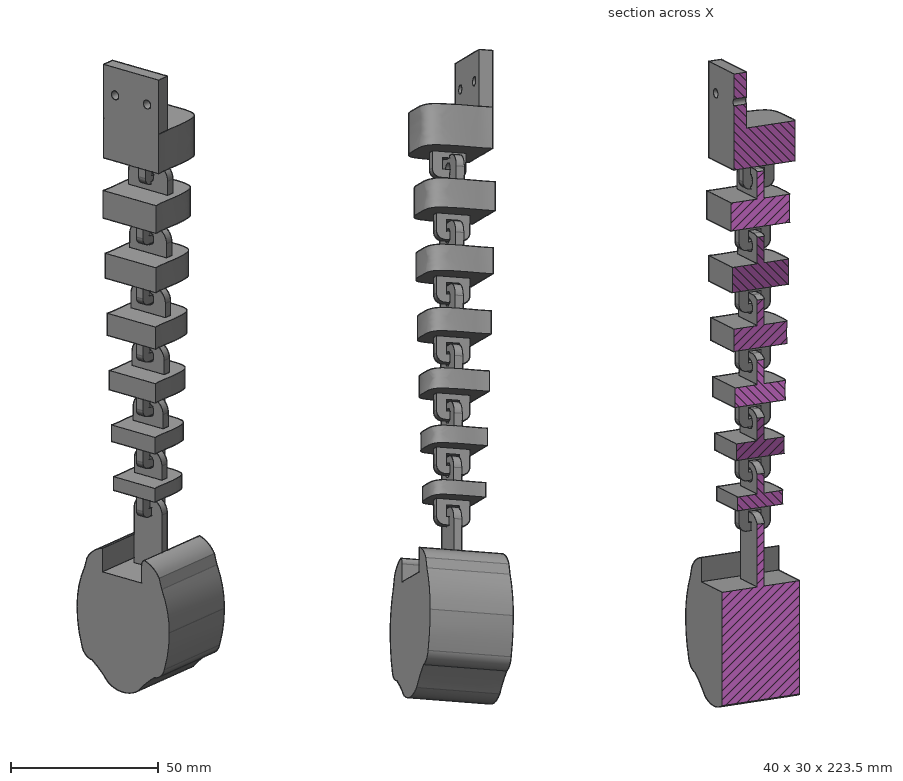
import cadquery as cq

TOTAL_HEIGHT = 223.5
LINK_COUNT = 6

EYE_THICKNESS = 3.0
UPPER_EYE_HEIGHT = 10.0
UPPER_EYE_CORNER = 5.0
UPPER_EYE_HOLE_DIAMETER = 5.0
UPPER_EYE_HOLE_DEPTH = 4.7
LOWER_EYE_WIDTH = 12.0
LOWER_EYE_HEIGHT = 9.0
LOWER_EYE_CORNER = 3.0
LOWER_EYE_HOLE_WIDTH = 4.7
LOWER_EYE_HOLE_HEIGHT = 4.0
LOWER_EYE_HOLE_DEPTH = 4.0
HOOK_OVERLAP = 6.3

SIZE_STEP = 1.0
FIRST_LINK_WIDTH = 23.0
FIRST_LINK_HEIGHT = 10.0
EYE_INSET = 6.0

CORNER_SHARE = 0.25
BOW_SHARE = 0.022
CORNER_INSET = 0.34

FOOT_WIDTH = 40.0
FOOT_DEPTH = 30.0
FOOT_FLOOR = 41.5
FOOT_EYE_WIDTH = LOWER_EYE_WIDTH
FOOT_EYE_HEIGHT = 25.0
HORN_TIP = (9.2, 50.0)
HORN_BEND = (13.5, 47.8)
HORN_SHOULDER = (15.6, 45.1)
FLANK_TOP = (16.8, 41.3)
UPPER_FLANK_BEND = (19.2, 34.0)
WIDEST_POINT = (FOOT_WIDTH / 2, 26.4)
LOWER_FLANK_BEND = (19.5, 19.2)
FLANK_BOTTOM = (17.9, 12.5)
HEEL_BEND = (16.3, 9.8)
HEEL_END = (13.5, 8.5)
TOE_BEND = (9.5, 5.4)
TOE_START = (6.5, 2.0)
SLOT_LEFT = -9.0
SLOT_RIGHT = 8.0
HORN_ROUND_START = 47.8
HORN_ROUND_MIDDLE = (8.3, 49.2)

MOUNT_HEIGHT = 34.0
MOUNT_WIDTH = 24.0
MOUNT_BLOCK_HEIGHT = 14.3
MOUNT_PLATE_THICKNESS = 5.0
MOUNT_SHIFT_X = -0.2
MOUNT_SHIFT_Y = 1.5
SCREW_HOLE_DIAMETER = 3.1
SCREW_HOLE_OFFSET = 7.0
SCREW_HOLE_DROP = 10.0


def mirrored(point):
    return (-point[0], point[1])


def make_block(width, height, bottom):
    """Block with a flat front at -Y and rounded corners at +Y."""
    half = width / 2
    bow = BOW_SHARE * width
    corner = CORNER_SHARE * width
    side = (half - bow / 4, -corner / 2)
    corner_start = (half - bow, half - corner)
    corner_middle = (half - CORNER_INSET * corner, half - CORNER_INSET * corner)
    corner_end = (half - corner, half - bow / 2)
    right_curve = [side, corner_start, corner_middle, corner_end]
    left_curve = [mirrored(point) for point in reversed(right_curve)]
    return (
        cq.Workplane("XY", origin=(0, 0, bottom))
        .moveTo(-half, -half)
        .lineTo(half, -half)
        .spline([*right_curve, (0, half), *left_curve, (-half, -half)], includeCurrent=True)
        .close()
        .extrude(height)
    )


def make_upper_eye_plate(width, height, bottom):
    """Plate across Y that stands on the bottom height, with its top corners rounded."""
    return (
        cq.Workplane("XY", origin=(0, 0, bottom))
        .box(width, EYE_THICKNESS, height, centered=(True, True, False))
        .edges("|Y and >Z")
        .fillet(UPPER_EYE_CORNER)
    )


def make_upper_eye(width, bottom):
    """Upper eye plate with its hole along Y."""
    hole = (
        cq.Workplane("XZ", origin=(0, 0, bottom + UPPER_EYE_HEIGHT - UPPER_EYE_HOLE_DEPTH))
        .circle(UPPER_EYE_HOLE_DIAMETER / 2)
        .extrude(EYE_THICKNESS, both=True)
    )
    return make_upper_eye_plate(width, UPPER_EYE_HEIGHT, bottom).cut(hole)


def make_lower_eye(top):
    """Lower eye: a plate across X that hangs from the top height, with its hole along X."""
    hole = cq.Workplane("XY", origin=(0, 0, top - LOWER_EYE_HOLE_DEPTH)).box(
        EYE_THICKNESS, LOWER_EYE_HOLE_WIDTH, LOWER_EYE_HOLE_HEIGHT
    )
    return (
        cq.Workplane("XY", origin=(0, 0, top - LOWER_EYE_HEIGHT))
        .box(EYE_THICKNESS, LOWER_EYE_WIDTH, LOWER_EYE_HEIGHT, centered=(True, True, False))
        .edges("|X and <Z")
        .fillet(LOWER_EYE_CORNER)
        .cut(hole)
    )


def make_link(index, bottom):
    """Link with its block standing on the bottom height; index 0 is the largest."""
    width = FIRST_LINK_WIDTH - index * SIZE_STEP
    height = link_height(index)
    return (
        make_block(width, height, bottom)
        .union(make_upper_eye(width - EYE_INSET, bottom + height))
        .union(make_lower_eye(bottom))
    )


def link_height(index):
    return FIRST_LINK_HEIGHT - index * SIZE_STEP


def make_foot():
    """Foot body with a slot between two horns and a long eye plate in the slot."""
    start_y = FOOT_DEPTH / 2
    left_horn_top = (SLOT_LEFT, HORN_TIP[1])
    body = (
        cq.Workplane("XZ", origin=(0, start_y, 0))
        .moveTo(SLOT_RIGHT, FOOT_FLOOR)
        .lineTo(SLOT_RIGHT, HORN_ROUND_START)
        .threePointArc(HORN_ROUND_MIDDLE, HORN_TIP)
        .threePointArc(HORN_BEND, HORN_SHOULDER)
        .lineTo(*FLANK_TOP)
        .threePointArc(UPPER_FLANK_BEND, WIDEST_POINT)
        .threePointArc(LOWER_FLANK_BEND, FLANK_BOTTOM)
        .threePointArc(HEEL_BEND, HEEL_END)
        .spline([TOE_BEND, TOE_START], includeCurrent=True)
        .threePointArc((0, 0), mirrored(TOE_START))
        .spline([mirrored(TOE_BEND), mirrored(HEEL_END)], includeCurrent=True)
        .threePointArc(mirrored(HEEL_BEND), mirrored(FLANK_BOTTOM))
        .threePointArc(mirrored(LOWER_FLANK_BEND), mirrored(WIDEST_POINT))
        .threePointArc(mirrored(UPPER_FLANK_BEND), mirrored(FLANK_TOP))
        .lineTo(*mirrored(HORN_SHOULDER))
        .threePointArc(mirrored(HORN_BEND), mirrored(HORN_TIP))
        .lineTo(*left_horn_top)
        .lineTo(SLOT_LEFT, FOOT_FLOOR)
        .close()
        .extrude(FOOT_DEPTH)
    )
    return body.union(make_upper_eye_plate(FOOT_EYE_WIDTH, FOOT_EYE_HEIGHT, FOOT_FLOOR))


def make_mount():
    """Mount: a block with a screw plate on top along its front and a lower eye below."""
    bottom = TOTAL_HEIGHT - MOUNT_HEIGHT
    front_y = -MOUNT_WIDTH / 2
    plate_height = MOUNT_HEIGHT - MOUNT_BLOCK_HEIGHT
    plate = cq.Workplane("XY", origin=(0, front_y, bottom + MOUNT_BLOCK_HEIGHT)).box(
        MOUNT_WIDTH, MOUNT_PLATE_THICKNESS, plate_height, centered=(True, False, False)
    )
    screw_holes = (
        cq.Workplane("XZ", origin=(0, front_y, TOTAL_HEIGHT - SCREW_HOLE_DROP))
        .pushPoints([(-SCREW_HOLE_OFFSET, 0), (SCREW_HOLE_OFFSET, 0)])
        .circle(SCREW_HOLE_DIAMETER / 2)
        .extrude(-MOUNT_PLATE_THICKNESS)
    )
    return (
        make_block(MOUNT_WIDTH, MOUNT_BLOCK_HEIGHT, bottom)
        .union(plate.cut(screw_holes))
        .union(make_lower_eye(bottom))
        .translate((MOUNT_SHIFT_X, MOUNT_SHIFT_Y, 0))
    )


foot = make_foot()
links = []
eye_top = FOOT_FLOOR + FOOT_EYE_HEIGHT
for index in reversed(range(LINK_COUNT)):
    block_bottom = eye_top - HOOK_OVERLAP + LOWER_EYE_HEIGHT
    links.append(make_link(index, block_bottom))
    eye_top = block_bottom + link_height(index) + UPPER_EYE_HEIGHT

mount = make_mount()

foot = foot.cut(links[0])

links[-1] = links[-1].cut(mount)

result = cq.Compound.makeCompound([foot.val(), *[link.val() for link in links], mount.val()])